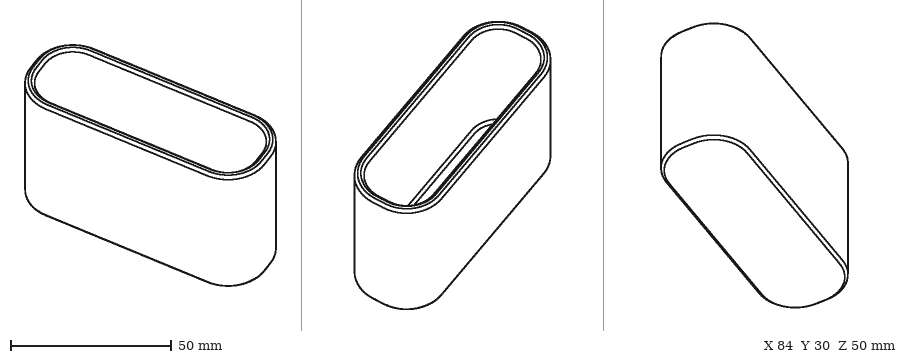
import cadquery as cq

length = 84.0
width = 30.0
height = 50.0

corner_radius = 13.0
wall = 3.0
floor_thickness = wall
bevel = 1.0


def rounded_block(block_length, block_width, block_height, radius):
    """Upright block resting on Z = 0 with rounded vertical edges."""
    block = cq.Workplane("XY").box(block_length, block_width, block_height, centered=(True, True, False))
    return block.edges("|Z").fillet(radius)


body = rounded_block(length, width, height, corner_radius)
body = body.faces("<Z or >Z").edges().chamfer(bevel)

cavity = rounded_block(
    length - 2 * wall,
    width - 2 * wall,
    height - floor_thickness,
    corner_radius - wall,
)
cavity = cavity.faces("<Z").edges().chamfer(bevel)
cavity = cavity.translate((0, 0, floor_thickness))

result = body.cut(cavity)
result = result.faces(">Z").wires(cq.selectors.LengthNthSelector(0)).chamfer(bevel)